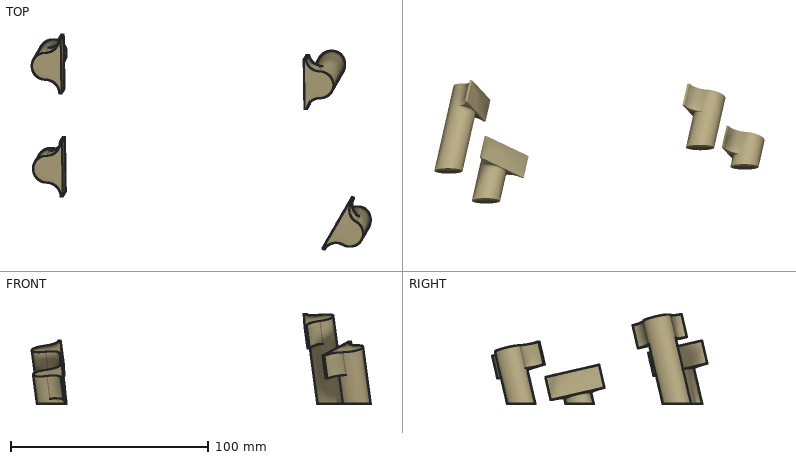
import cadquery as cq
import math


lean_angle = 15.0
lean_axis_heading = -30.0

stem_radius = 14.0 / 2
flank_radius = 13.8 / 2
wall_distance = 8.0
head_height = 12.0
flank_centre = stem_radius + flank_radius
full_wall_half = 2 * stem_radius
short_wall_half = 12.75

supports = {
    "rear_left": ((-79.3, 38.8, 28.0), 0.0, full_wall_half),
    "front_left": ((-78.65, -13.3, 15.75), 0.0, full_wall_half),
    "rear_right": ((59.6, 29.45, 43.62), 180.0, short_wall_half),
    "front_right": ((74.68, -45.72, 28.0), 150.0, full_wall_half),
}

stem_overrun = 2 * stem_radius


def make_head(wall_half):
    """Wall block on the +X side of the stem, hollowed by a round flank at each end."""
    block = (
        cq.Workplane("XY")
        .center(wall_distance / 2, 0)
        .rect(wall_distance, 2 * wall_half)
        .extrude(-head_height)
    )
    flanks = (
        cq.Workplane("XY")
        .pushPoints([(0, flank_centre), (0, -flank_centre)])
        .circle(flank_radius)
        .extrude(-head_height)
    )
    return block.cut(flanks)


def make_support(top_centre, wall_turn, wall_half):
    """Build a support upright below the origin, lean it, place it, trim its foot."""
    x, y, top_height = top_centre
    lean = math.radians(lean_angle)
    heading = math.radians(lean_axis_heading)
    stem_length = top_height / math.cos(lean) + stem_overrun

    head = make_head(wall_half)
    stem = cq.Workplane("XY").circle(stem_radius).extrude(-stem_length)
    lean_axis = (math.cos(heading), math.sin(heading), 0)
    leaning = (
        head.union(stem)
        .rotate((0, 0, 0), (0, 0, 1), wall_turn)
        .rotate((0, 0, 0), lean_axis, lean_angle)
        .translate(top_centre)
    )

    trim_size = 2 * stem_length
    below_ground = cq.Workplane("XY").center(x, y).rect(trim_size, trim_size).extrude(-trim_size)
    return leaning.cut(below_ground)


bodies = []
for top_centre, wall_turn, wall_half in supports.values():
    support = make_support(top_centre, wall_turn, wall_half)
    bodies.extend(support.solids().vals())

result = cq.Compound.makeCompound(bodies)